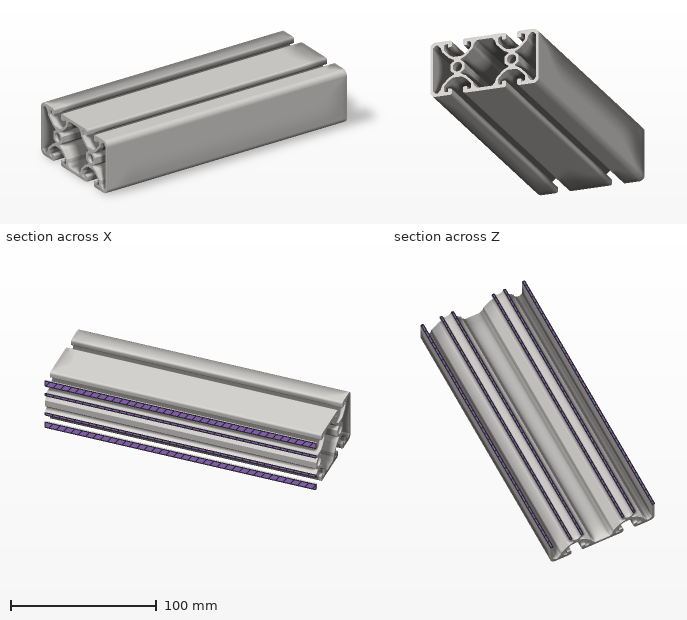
import cadquery as cq

MODULE = 40.0
MODULE_COUNT = 2
LENGTH = 200.0
CORNER_RADIUS = 4.0

SIDE_WALL = 2.0
TOP_WALL = 2.5
INNER_CORNER_CHAMFER = 1.8


SLOT_HALF_OPENING = 4.0
LIP_WIDTH = 3.0
LIP_DEPTH = 4.8
LIP_OUTER_RADIUS = 1.5
LIP_INNER_RADIUS = 1.2
SLOT_CORNER_RADIUS = 1.5
SLOT_HALF_WIDTH = 10.0
SLOT_SHOULDER_HEIGHT = 13.5
SLOT_KNEE = (4.5, 8.5)
SLOT_FLOOR_HALF_WIDTH = 2.0
SLOT_FLOOR_HEIGHT = 7.5

GUSSET_TOP_X = 14.5
GUSSET_BOTTOM = (12.2, 15.2)
WEB_SHOULDER = (11.5, 12.5)
WEB_KNEE = (6.2, 7.2)

NECK_TOP = (3.0, 5.5)
NECK_WAIST = (2.5, 4.8)
BOSS_SHOULDER = (3.5, 4.0)
BOSS_HALF_WIDTH = 5.2
BOSS_FACE_HALF_HEIGHT = 2.5
CHANNEL_RADIUS = 3.5

HALF_MODULE = MODULE / 2
BAR_WIDTH = MODULE * MODULE_COUNT
WALL_UNDERSIDE = HALF_MODULE - TOP_WALL
MODULE_CENTRES = [MODULE * (i - (MODULE_COUNT - 1) / 2) for i in range(MODULE_COUNT)]


def extrude(sketch):
    """Extrude a sketch in the XZ plane over the length of the bar."""
    return sketch.extrude(LENGTH / 2, both=True)


def t_slot():
    """Cutter for the T-slot at the top of a module centred on the origin."""
    lip_back = SLOT_HALF_OPENING + LIP_WIDTH
    lip_bottom = HALF_MODULE - LIP_DEPTH
    half_outline = (
        cq.Workplane("XZ")
        .moveTo(0, SLOT_FLOOR_HEIGHT)
        .lineTo(SLOT_FLOOR_HALF_WIDTH, SLOT_FLOOR_HEIGHT)
        .tangentArcPoint(SLOT_KNEE, relative=False)
        .tangentArcPoint((SLOT_HALF_WIDTH, SLOT_SHOULDER_HEIGHT), relative=False)
        .lineTo(SLOT_HALF_WIDTH, WALL_UNDERSIDE - SLOT_CORNER_RADIUS)
        .radiusArc((SLOT_HALF_WIDTH - SLOT_CORNER_RADIUS, WALL_UNDERSIDE), -SLOT_CORNER_RADIUS)
        .lineTo(lip_back, WALL_UNDERSIDE)
        .lineTo(lip_back, lip_bottom)
        .lineTo(SLOT_HALF_OPENING + LIP_INNER_RADIUS, lip_bottom)
        .radiusArc((SLOT_HALF_OPENING, lip_bottom + LIP_INNER_RADIUS), LIP_INNER_RADIUS)
        .lineTo(SLOT_HALF_OPENING, HALF_MODULE - LIP_OUTER_RADIUS)
        .radiusArc((SLOT_HALF_OPENING + LIP_OUTER_RADIUS, HALF_MODULE), LIP_OUTER_RADIUS)
        .lineTo(0, HALF_MODULE)
        .close()
    )
    right_half = extrude(half_outline)
    return right_half.union(right_half.mirror("YZ"))


def chamber_beside_boss(end):
    """Cutter for the space right of a boss centred on the origin, out to X = end."""
    upper_outline = (
        cq.Workplane("XZ")
        .moveTo(BOSS_HALF_WIDTH, 0)
        .lineTo(BOSS_HALF_WIDTH, BOSS_FACE_HALF_HEIGHT)
        .lineTo(*BOSS_SHOULDER)
        .threePointArc(NECK_WAIST, NECK_TOP)
        .lineTo(*WEB_KNEE)
        .lineTo(*WEB_SHOULDER)
        .lineTo(*GUSSET_BOTTOM)
        .lineTo(GUSSET_TOP_X, WALL_UNDERSIDE)
        .lineTo(end, WALL_UNDERSIDE)
        .lineTo(end, 0)
        .close()
    )
    upper_half = extrude(upper_outline)
    return upper_half.union(upper_half.mirror("XY"))


def side_chamber():
    """Cutter for the chamber behind the right side wall, with chamfered wall corners."""
    chamber = chamber_beside_boss(HALF_MODULE - SIDE_WALL)
    return chamber.edges("|Y and >X").chamfer(INNER_CORNER_CHAMFER)


bar = cq.Workplane("XY").box(BAR_WIDTH, LENGTH, MODULE).edges("|Y").fillet(CORNER_RADIUS)

slot = t_slot()
channel = extrude(cq.Workplane("XZ").circle(CHANNEL_RADIUS))
for centre in MODULE_CENTRES:
    for cutter in (slot, slot.mirror("XY"), channel):
        bar = bar.cut(cutter.translate((centre, 0, 0)))

right_centre = (MODULE_CENTRES[-1], 0, 0)
outer_chamber = side_chamber().translate(right_centre)
inner_chamber = chamber_beside_boss(HALF_MODULE).mirror("YZ").translate(right_centre)
for cutter in (outer_chamber, inner_chamber):
    bar = bar.cut(cutter).cut(cutter.mirror("YZ"))

result = bar